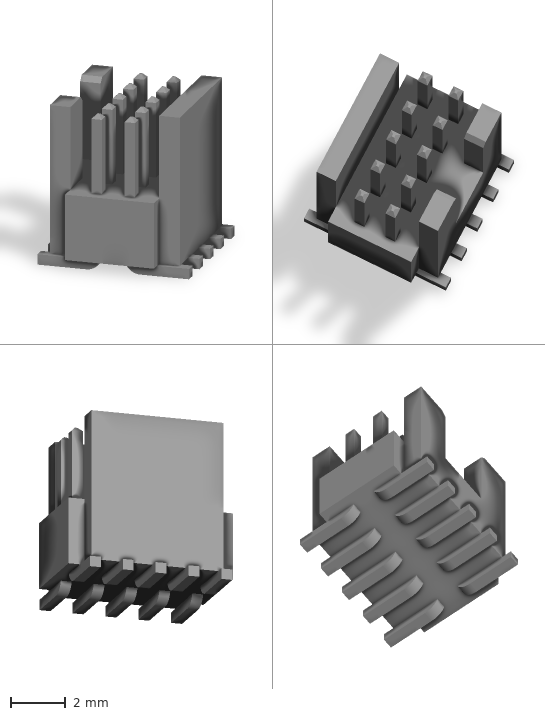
import cadquery as cq

pitch = 1.27
rows = 2
pins_per_row = 5
pin_width = 0.42
pin_thickness = 0.4
foot_span = 5.84
bend_inner_radius = 0.2
tip_height = 0.16
tip_flat_width = 0.1

overall_height = 6.12
standoff = 0.42
floor_height = 2.94
pin_top = 5.97

base_width = 3.42
base_length = 6.35
outer_width = 5.0
wall_length = 5.11
wall_thickness = (outer_width - base_width) / 2

slot_width = 2.18
slot_chamfer = 0.2


def block(width, length, bottom, top):
    """Box centred on the Z axis between two heights."""
    return cq.Workplane("XY", origin=(0, 0, bottom)).rect(width, length).extrude(top - bottom)


def make_housing():
    """Base with a side wall along each long edge, the -X one slotted."""
    base = block(base_width, base_length, standoff, floor_height)
    wall = block(wall_thickness, wall_length, standoff, overall_height)
    wall_offset = (base_width + wall_thickness) / 2
    left_wall = wall.translate((-wall_offset, 0, 0))
    right_wall = wall.translate((wall_offset, 0, 0))
    return base.union(left_wall).union(right_wall).cut(make_keying_slot())


def make_keying_slot():
    """Cutter for the open-topped slot with a chamfered mouth."""
    half_slot = slot_width / 2
    half_mouth = half_slot + slot_chamfer
    chamfer_start = overall_height - slot_chamfer
    profile = [
        (-half_slot, floor_height),
        (half_slot, floor_height),
        (half_slot, chamfer_start),
        (half_mouth, overall_height),
        (-half_mouth, overall_height),
        (-half_slot, chamfer_start),
    ]
    slot = cq.Workplane("YZ").polyline(profile).close().extrude(wall_thickness)
    return slot.translate((-outer_width / 2, 0, 0))


def make_pin():
    """Bent pin of the -X row, centred on Y: flat foot, rounded bend, post and blunt pyramid tip."""
    row_x = -pitch * (rows - 1) / 2
    outer_face = row_x - pin_thickness / 2
    inner_face = row_x + pin_thickness / 2
    foot_tip = -foot_span / 2
    bend_outer_radius = bend_inner_radius + pin_thickness
    bend_x = outer_face - bend_inner_radius
    tip_base = pin_top - tip_height

    post = (
        cq.Workplane("XZ")
        .moveTo(foot_tip, 0)
        .lineTo(bend_x, 0)
        .radiusArc((inner_face, bend_outer_radius), -bend_outer_radius)
        .lineTo(inner_face, tip_base)
        .lineTo(outer_face, tip_base)
        .lineTo(outer_face, bend_outer_radius)
        .radiusArc((bend_x, pin_thickness), bend_inner_radius)
        .lineTo(foot_tip, pin_thickness)
        .close()
        .extrude(pin_width / 2, both=True)
    )
    tip = (
        cq.Workplane("XY", origin=(row_x, 0, tip_base))
        .rect(pin_thickness, pin_width)
        .workplane(offset=tip_height)
        .rect(tip_flat_width, tip_flat_width)
        .loft(ruled=True)
    )
    return post.union(tip)


result = make_housing()
left_pin = make_pin()
right_pin = left_pin.mirror("YZ")
for index in range(pins_per_row):
    pin_y = (index - (pins_per_row - 1) / 2) * pitch
    result = result.union(left_pin.translate((0, pin_y, 0)))
    result = result.union(right_pin.translate((0, pin_y, 0)))